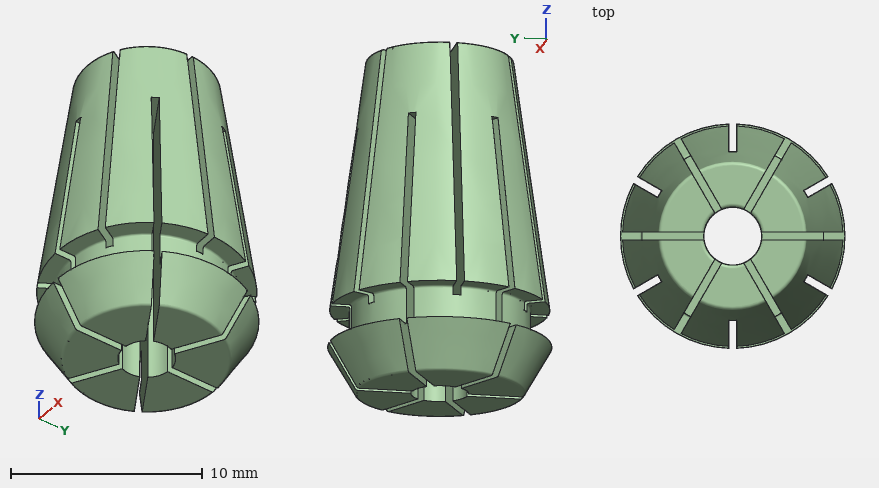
import cadquery as cq
import math

height = 18.0
bore_radius = 3.0 / 2
nose_radius = 5.85
nose_height = 2.5
nose_angle = 30.0
neck_radius = 4.73
taper_start = 4.5
taper_base_radius = 5.75
taper_angle = 8.0

groove_fillet = 0.117
edge_fillet = 0.2

slots_per_set = 6
slot_width = 0.41
top_slot_floor = 4.03
bottom_slot_end = 14.04

slot_pitch = 360 / slots_per_set
nose_base_radius = nose_radius - nose_height * math.tan(math.radians(nose_angle))
taper_top_radius = taper_base_radius - (height - taper_start) * math.tan(math.radians(taper_angle))


def edge_circle(radius, z):
    """Selector for the circular edge of the given radius at height z."""
    margin = 0.02
    outer = radius + margin
    inner = radius - margin
    low = z - margin
    high = z + margin
    around = cq.selectors.BoxSelector((-outer, -outer, low), (outer, outer, high), boundingbox=True)
    within = cq.selectors.BoxSelector((-inner, -inner, low), (inner, inner, high), boundingbox=True)
    return around - within


def make_body():
    """Revolved collet with its groove, bore and rounded edges."""
    body = (
        cq.Workplane("XZ")
        .moveTo(bore_radius, 0)
        .lineTo(nose_base_radius, 0)
        .lineTo(nose_radius, nose_height)
        .lineTo(neck_radius, nose_height)
        .lineTo(neck_radius, taper_start)
        .lineTo(taper_base_radius, taper_start)
        .lineTo(taper_top_radius, height)
        .lineTo(bore_radius, height)
        .close()
        .revolve(360, (0, 0, 0), (0, 1, 0))
    )
    rounded_edges = [
        (neck_radius, nose_height, groove_fillet),
        (neck_radius, taper_start, groove_fillet),
        (nose_base_radius, 0, edge_fillet),
        (taper_top_radius, height, edge_fillet),
        (bore_radius, height, edge_fillet),
    ]
    for radius, z, fillet in rounded_edges:
        body = body.edges(edge_circle(radius, z)).fillet(fillet)
    return body


def cut_slots(body, first_angle, z_low, z_high):
    """Cut a ring of radial slots from the bore out past the nose rim, between two heights."""
    slot_length = nose_radius + slot_width
    for index in range(slots_per_set):
        slot = (
            cq.Workplane("XY", origin=(0, 0, z_low))
            .rect(slot_length, slot_width)
            .extrude(z_high - z_low)
            .translate((slot_length / 2, 0, 0))
            .rotate((0, 0, 0), (0, 0, 1), first_angle + index * slot_pitch)
        )
        body = body.cut(slot)
    return body


result = make_body()
result = cut_slots(result, 0, top_slot_floor, height)
result = cut_slots(result, slot_pitch / 2, 0, bottom_slot_end)